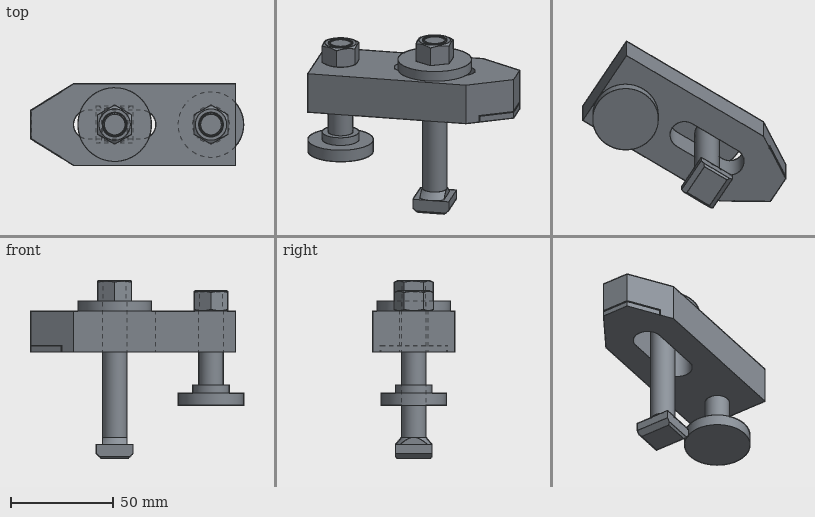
import cadquery as cq
import math


OVERALL_LENGTH = 104.0

CLAMP_LENGTH = 100.0
CLAMP_WIDTH = 40.0
CLAMP_HEIGHT = 20.0
NOSE_WIDTH = 14.0
NOSE_LENGTH = 21.0
SLOT_LENGTH = 40.0
SLOT_WIDTH = 14.0
BOLT_X = 41.0

PAD_HEIGHT = 3.0
PAD_SIDE_LENGTH = 17.5
LINE_WIDTH = 0.3
LINE_DEPTH = 0.3

WASHER_DIAMETER = 36.0
WASHER_HEIGHT = 5.0

SHAFT_DIAMETER = 12.1
THREAD_DIAMETER = 11.2
THREAD_END_DIAMETER = 10.1

NUT_ACROSS_FLATS = 16.5
NUT_HEIGHT = 10.0
NUT_FACE_DIAMETER = 15.3
NUT_CHAMFER_ANGLE = 25.0
NUT_SIDES = 6

BOLT_REACH = 52.0
HEAD_SIZE = 18.0
HEAD_HEIGHT = 7.0
HEAD_SIDE_CHAMFER = 2.5
HEAD_END_CHAMFER = 1.0
NECK_HEIGHT = 3.4

FOOT_DIAMETER = 32.0
FOOT_HEIGHT = 6.0
COLLAR_DIAMETER = 18.0
COLLAR_HEIGHT = 4.0
SUPPORT_REACH = 26.0
SCREW_X = OVERALL_LENGTH - FOOT_DIAMETER / 2

WASHER_TOP = CLAMP_HEIGHT + WASHER_HEIGHT

NUT_PLACES = [(BOLT_X, WASHER_TOP, False), (SCREW_X, CLAMP_HEIGHT, True)]


def cylinder(diameter, bottom, top, x=0.0):
    return cq.Workplane("XY", origin=(x, 0, bottom)).circle(diameter / 2).extrude(top - bottom)


def cone(bottom_diameter, top_diameter, bottom, top, x=0.0):
    return cq.Workplane(
        cq.Solid.makeCone(bottom_diameter / 2, top_diameter / 2, top - bottom, pnt=cq.Vector(x, 0, bottom))
    )


def make_bar():
    """Solid bar with a tapered nose."""
    return (
        cq.Workplane("XY")
        .moveTo(0, -NOSE_WIDTH / 2)
        .lineTo(NOSE_LENGTH, -CLAMP_WIDTH / 2)
        .lineTo(CLAMP_LENGTH, -CLAMP_WIDTH / 2)
        .lineTo(CLAMP_LENGTH, CLAMP_WIDTH / 2)
        .lineTo(NOSE_LENGTH, CLAMP_WIDTH / 2)
        .lineTo(0, NOSE_WIDTH / 2)
        .close()
        .extrude(CLAMP_HEIGHT)
    )


def make_pad_line():
    """Cutter for the engraved line: level round the nose, then down at the far end of each tapered side."""
    taper_angle = math.degrees(math.atan2((CLAMP_WIDTH - NOSE_WIDTH) / 2, NOSE_LENGTH))
    thickness = 2 * LINE_DEPTH
    across_nose = cq.Workplane("XY").box(thickness, NOSE_WIDTH, LINE_WIDTH, centered=(True, True, False))
    line = across_nose.translate((0, 0, PAD_HEIGHT))
    along_side = (
        cq.Workplane("XZ")
        .moveTo(0, PAD_HEIGHT)
        .lineTo(PAD_SIDE_LENGTH, PAD_HEIGHT)
        .lineTo(PAD_SIDE_LENGTH, 0)
        .lineTo(PAD_SIDE_LENGTH + LINE_WIDTH, 0)
        .lineTo(PAD_SIDE_LENGTH + LINE_WIDTH, PAD_HEIGHT + LINE_WIDTH)
        .lineTo(0, PAD_HEIGHT + LINE_WIDTH)
        .close()
        .extrude(thickness / 2, both=True)
    )
    for side in (-1, 1):
        tapered = along_side.rotate((0, 0, 0), (0, 0, 1), side * taper_angle)
        line = line.union(tapered.translate((0, side * NOSE_WIDTH / 2, 0)))
    return line


def make_clamp():
    slot = (
        cq.Workplane("XY")
        .center(BOLT_X, 0)
        .slot2D(SLOT_LENGTH, SLOT_WIDTH)
        .extrude(CLAMP_HEIGHT)
    )
    screw_hole = cylinder(SHAFT_DIAMETER, 0, CLAMP_HEIGHT, SCREW_X)
    return make_bar().cut(slot).cut(screw_hole).cut(make_pad_line())


def make_washer():
    disc = cylinder(WASHER_DIAMETER, CLAMP_HEIGHT, WASHER_TOP, BOLT_X)
    return disc.cut(cylinder(SHAFT_DIAMETER, CLAMP_HEIGHT, WASHER_TOP, BOLT_X))


def make_nut(x, bottom, chamfer_bottom):
    """Nut with two corners along Y; the lower corners are chamfered only where asked."""
    corner_diameter = NUT_ACROSS_FLATS / math.cos(math.pi / NUT_SIDES)
    rise = (corner_diameter - NUT_FACE_DIAMETER) / 2 * math.tan(math.radians(NUT_CHAMFER_ANGLE))
    top = bottom + NUT_HEIGHT
    envelope_bottom = bottom
    envelope = cone(corner_diameter, NUT_FACE_DIAMETER, top - rise, top, x)
    if chamfer_bottom:
        envelope_bottom = bottom + rise
        envelope = envelope.union(cone(NUT_FACE_DIAMETER, corner_diameter, bottom, envelope_bottom, x))
    envelope = envelope.union(cylinder(corner_diameter, envelope_bottom, top - rise, x))
    hexagon = (
        cq.Workplane("XY", origin=(x, 0, bottom))
        .transformed(rotate=(0, 0, 90))
        .polygon(NUT_SIDES, corner_diameter)
        .extrude(NUT_HEIGHT)
    )
    sink_depth = (SHAFT_DIAMETER - THREAD_DIAMETER) / 2
    countersink = cone(THREAD_DIAMETER, SHAFT_DIAMETER, top - sink_depth, top, x)
    thread_hole = cylinder(THREAD_DIAMETER, bottom, top, x)
    return hexagon.intersect(envelope).cut(thread_hole).cut(countersink)


def make_shaft(x, bottom, nut_bottom):
    """Shaft with a thinner, chamfered thread that ends level with the top of the nut."""
    top = nut_bottom + NUT_HEIGHT
    end_chamfer = (THREAD_DIAMETER - THREAD_END_DIAMETER) / 2
    thread = cylinder(THREAD_DIAMETER, nut_bottom, top, x).faces(">Z").chamfer(end_chamfer)
    return cylinder(SHAFT_DIAMETER, bottom, nut_bottom, x).union(thread)


def make_t_bolt():
    head_top = HEAD_HEIGHT - BOLT_REACH
    neck_top = head_top + NECK_HEIGHT
    head = (
        cq.Workplane("XY", origin=(BOLT_X, 0, -BOLT_REACH))
        .box(HEAD_SIZE, HEAD_SIZE, HEAD_HEIGHT, centered=(True, True, False))
    )
    head = head.faces("<X or >X").edges("<Z").chamfer(HEAD_SIDE_CHAMFER)
    head = head.faces("<Z").edges("<Y or >Y").chamfer(HEAD_END_CHAMFER)
    neck = cone(HEAD_SIZE, SHAFT_DIAMETER, head_top, neck_top, BOLT_X).intersect(
        cq.Workplane("XY", origin=(BOLT_X, 0, head_top))
        .box(SHAFT_DIAMETER, HEAD_SIZE, NECK_HEIGHT, centered=(True, True, False))
    )
    return make_shaft(BOLT_X, head_top, WASHER_TOP).union(head).union(neck)


def make_support_screw():
    foot_top = FOOT_HEIGHT - SUPPORT_REACH
    collar_top = foot_top + COLLAR_HEIGHT
    foot = cylinder(FOOT_DIAMETER, -SUPPORT_REACH, foot_top, SCREW_X)
    collar = cylinder(COLLAR_DIAMETER, foot_top, collar_top, SCREW_X)
    return make_shaft(SCREW_X, collar_top, CLAMP_HEIGHT).union(collar).union(foot)


clamp = make_clamp()
washer = make_washer()
t_bolt = make_t_bolt()
support_screw = make_support_screw()
nuts = [make_nut(x, bottom, chamfer_bottom) for x, bottom, chamfer_bottom in NUT_PLACES]

result = cq.Compound.makeCompound(
    [part.val() for part in [clamp, washer, t_bolt, support_screw, *nuts]]
)